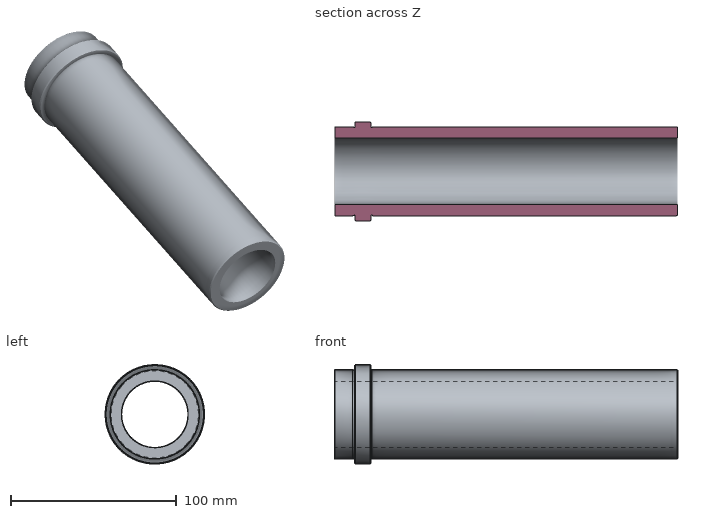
import cadquery as cq

length = 207.0
body_radius = 54.0 / 2
bore_radius = 40.0 / 2

left_edge_break = 0.2

collar_radius = 60.0 / 2
collar_start = 12.0
collar_end = 22.0
collar_chamfer = 0.6

undercut_depth = 0.5
left_undercut_width = 1.2
right_undercut_width = 0.6

taper_length = 4.3
taper_drop = 0.06
end_chamfer = 0.6


def revolve_about_x(points):
    """Turn a closed (x, radius) outline about the X axis."""
    return cq.Workplane("XY").polyline(points).close().revolve(360, (0, 0, 0), (1, 0, 0))


undercut_radius = body_radius - undercut_depth
taper_end_radius = body_radius - taper_drop

left_body = [
    (left_edge_break, bore_radius),
    (0, bore_radius + left_edge_break),
    (0, body_radius - left_edge_break),
    (left_edge_break, body_radius),
    (collar_start - left_undercut_width, body_radius),
]
collar = [
    (collar_start, undercut_radius),
    (collar_start, collar_radius - collar_chamfer),
    (collar_start + collar_chamfer, collar_radius),
    (collar_end - collar_chamfer, collar_radius),
    (collar_end, collar_radius - collar_chamfer),
    (collar_end, undercut_radius),
]
right_body = [
    (collar_end + right_undercut_width, undercut_radius),
    (collar_end + right_undercut_width, body_radius),
    (length - taper_length, body_radius),
    (length - end_chamfer, taper_end_radius),
    (length, taper_end_radius - end_chamfer),
    (length, bore_radius),
]

result = revolve_about_x(left_body + collar + right_body)